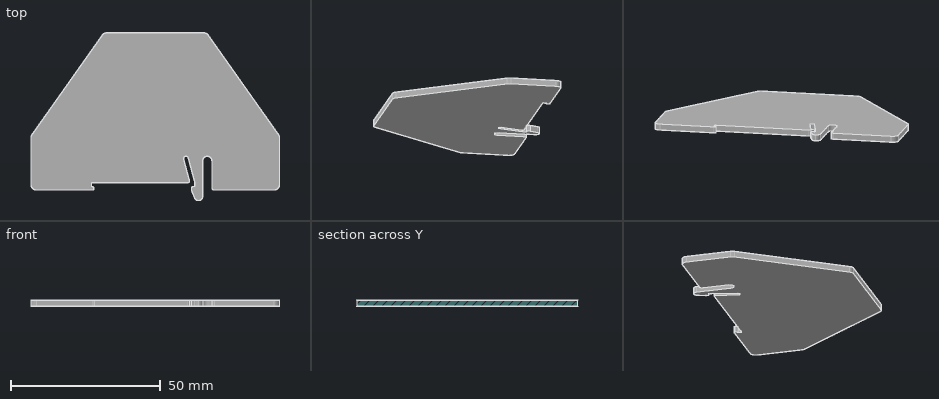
import cadquery as cq
import math

thickness = 2.1
width = 83.0
total_depth = 56.0
hook_drop = 3.5
top_y = total_depth - hook_drop
top_width = 34.2
shoulder_y = 18.0
body_radius = 2.0

rail_left = -21.25
rail_y = 2.5
lip_reach = 0.8
lip_height = 1.25
lip_radius = 0.6

slot_width = 3.0
slot_x = 17.35
slot_top = 11.3
foot_radius = 0.8

relief_width = 1.5
relief_tilt = math.radians(15)
relief_left = 11.6

hook_left = 13.1
hook_right = slot_x - slot_width / 2
barb_x = 12.0
tip_left = 13.45
tip_radius = 1.4


def plate(points):
    return cq.Workplane("XY").polyline(points).close().extrude(thickness)


def round_corners(part, points, radius):
    for x, y in points:
        corner = cq.selectors.NearestToPointSelector((x, y, thickness / 2))
        part = part.edges("|Z").edges(corner).fillet(radius)
    return part


def make_body():
    side = width / 2
    outline = [
        (-side, 0),
        (side, 0),
        (side, shoulder_y),
        (top_width / 2, top_y),
        (-top_width / 2, top_y),
        (-side, shoulder_y),
    ]
    return plate(outline).edges("|Z").fillet(body_radius)


def make_rail_opening():
    lip_x = rail_left + lip_reach
    return plate([
        (rail_left, rail_y),
        (rail_left, lip_height),
        (lip_x, lip_height),
        (lip_x, 0),
        (slot_x, 0),
        (slot_x, rail_y),
    ])


def make_hook():
    hook = plate([
        (hook_left, rail_y),
        (hook_left, lip_height),
        (barb_x, lip_height),
        (barb_x, 0),
        (tip_left, -hook_drop),
        (hook_right, -hook_drop),
        (hook_right, rail_y),
    ])
    hook = round_corners(hook, [(tip_left, -hook_drop), (hook_right, -hook_drop)], tip_radius)
    return round_corners(hook, [(barb_x, lip_height)], lip_radius)


def make_straight_slot():
    radius = slot_width / 2
    end_y = slot_top - radius
    return (
        cq.Workplane("XY")
        .moveTo(slot_x - radius, 0)
        .lineTo(slot_x - radius, end_y)
        .threePointArc((slot_x, slot_top), (slot_x + radius, end_y))
        .lineTo(slot_x + radius, 0)
        .close()
        .extrude(thickness)
    )


def make_relief_slot():
    radius = relief_width / 2
    end_y = slot_top - radius
    wall_x = radius * math.cos(relief_tilt)
    wall_y = radius * math.sin(relief_tilt)
    slope = math.tan(relief_tilt)
    end_x = relief_left + radius / math.cos(relief_tilt) - (end_y - rail_y) * slope
    right_wall = (end_x + wall_x, end_y + wall_y)
    left_wall = (end_x - wall_x, end_y - wall_y)
    crown = (end_x - wall_y, end_y + wall_x)
    knee_y = right_wall[1] - (hook_left - right_wall[0]) / slope
    return (
        cq.Workplane("XY")
        .moveTo(relief_left, rail_y)
        .lineTo(*left_wall)
        .threePointArc(crown, right_wall)
        .lineTo(hook_left, knee_y)
        .lineTo(hook_left, rail_y)
        .close()
        .extrude(thickness)
    )


result = make_body().cut(make_rail_opening()).union(make_hook())
result = result.cut(make_straight_slot()).cut(make_relief_slot())

lip_end = rail_left + lip_reach
result = round_corners(result, [(lip_end, 0), (lip_end, lip_height), (relief_left, rail_y)], lip_radius)
result = round_corners(result, [(slot_x + slot_width / 2, 0)], foot_radius)